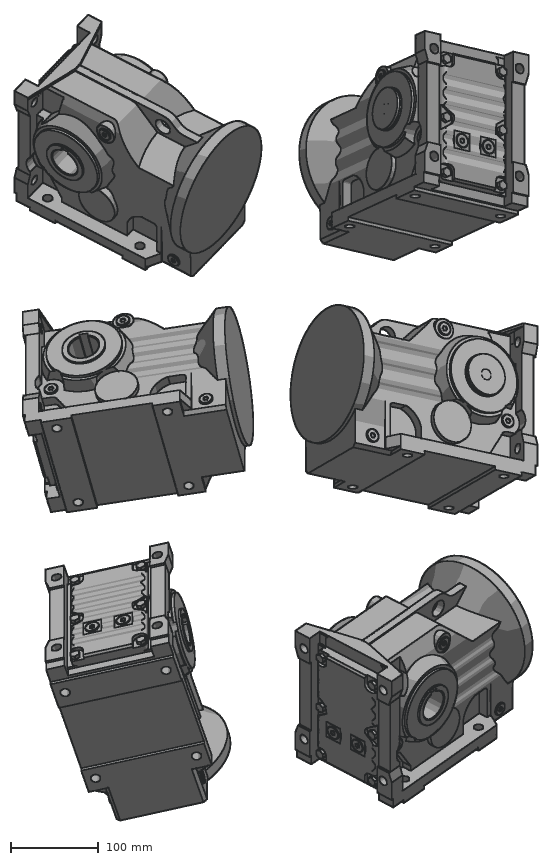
import cadquery as cq
import math


REAR_X = -71.2
FLANGE_X = 165.3
TOP_Z = 74.2
FOOT_Z = -111.8
HALF_WIDTH = 72.6
FAR = 200.0

PAD_HEIGHT = 2.7
PLATE_X = REAR_X + PAD_HEIGHT
PLATE_FRONT_X = -52.4
PLATE_WAIST = 68.4
CHANNEL_HALF = 50.8
CHANNEL_X = -53.6
UPPER_PAD_Z = 38.0
UPPER_WAIST_Z = 39.4
UPPER_TAPER_Z = 52.0
LOWER_PAD_Z = -58.8
LOWER_TAPER_Z = -70.5
LOWER_PAD_END_Z = -95.4
GUSSET_TIP_X = -34.7
BOLT_DIA = 11.5
BOLT_Y = 59.6
REAR_BOLT_Z = (55.3, -74.3)

BASE_TOP_Z = -93.0
BASE_BOTTOM_Z = -107.5
BASE_END_X = 111.5
BASE_TAPER_X = 121.0
REAR_FOOT_X = (-50.0, -14.6)
FRONT_FOOT_X = 79.4
BASE_BOLT_X = (-34.0, 94.5)
BASE_BOLT_DIA = 11.0

SIDE_Y = 55.0
HOUSING_END_X = 160.9
RIDGE_TOP_Z = 27.7
RIDGE_PITCH = 25.0
RIDGE_COUNT = 3
RIDGE_DEPTH = 3.4
RIDGE_START_X = 0.0
SHOULDER_Z = 30.2
CROWN_Z = 39.7
BOX_TOP_Z = 70.7
BOX_TOP_Y = 40.0
BOX_TANGENT_Z = 35.3
BOX_SLOPE_X = 89.6
BOX_EDGE_RADIUS = 11.8
FOOT_BLOCK_X = 121.2
FOOT_BLOCK_Y = 53.5
FOOT_BLOCK_TOP_Z = -49.5
FOOT_BLOCK_BREAK_Z = -80.6

FLANGE_Z = -7.4
FLANGE_RADIUS = 80.0
FLANGE_THICKNESS = 13.7
CONE_START_RADIUS = 45.0

HUB_ROOT_RADIUS = 59.2
HUB_ROOT_Y = 38.4
HUB_RIM_RADIUS = 47.9
HUB_RIM_Y = 68.4
HUB_FACE_RADIUS = 44.0
HUB_FACE_Y = 71.9
SHAFT_RADIUS = 25.0
SHAFT_Y = 74.4
CAP_RADIUS = 24.5
CAP_Y = 77.8
CAP_HOLE_RADIUS = 6.4
CAP_HOLE_DEPTH = 2.0
BORE_RADIUS = 17.5
BORE_CHAMFER = 1.0
KEY_WIDTH = 9.5
KEY_TOP_Z = 21.0

RIB_HALF = 5.0
RIB_TOP_Z = 72.1
RIB_LOW_Z = 57.1
RIB_EYE_X = 87.7
RIB_EYE_Z = 53.5
RIB_EYE_RADIUS = 10.1
RIB_FOOT_RADIUS = 15.7

POCKET_Y = 43.2
UPPER_POCKET_TOP_Z = 69.0
UPPER_POCKET_WALL_X = -23.1
UPPER_POCKET_SLOPE_Z = 48.3
UPPER_POCKET_SLOPE_RUN = 16.5
LOWER_POCKET_TOP_Z = -54.6
LOWER_POCKET_BEND_START = (-40.3, LOWER_POCKET_TOP_Z)
LOWER_POCKET_BEND_MID = (-37.3, -55.6)
LOWER_POCKET_BEND_END = (-35.0, -58.2)
LOWER_POCKET_WALL_X = -18.0
LOWER_POCKET_SLOPE_END_Z = -86.0
FRONT_POCKET_REAR_X = 73.4
FRONT_POCKET_WALL_X = 114.8
FRONT_POCKET_TOP_Z = FOOT_BLOCK_TOP_Z
FRONT_POCKET_ARCH_Z = -72.7
FRONT_POCKET_ARCH_MID = (80.6, -58.4)
FRONT_POCKET_ARCH_X = 94.0
FRONT_POCKET_CORNER = 4.7
DISC_X, DISC_Z = 35.3, -58.9
DISC_RADIUS = 24.9
DISC_Y = 60.9
SPOT_X, SPOT_Z = -41.6, -41.6
SPOT_RADIUS = 16.0
OIL_BOSS_X, OIL_BOSS_Z = 41.5, 54.9
OIL_BOSS_RADIUS = 12.1
OIL_BOSS_Y = 52.8
ROUND_BOSSES = (
    (DISC_X, DISC_Z, DISC_RADIUS, CHANNEL_HALF, DISC_Y),
    (SPOT_X, SPOT_Z, SPOT_RADIUS, CHANNEL_HALF, SIDE_Y),
    (OIL_BOSS_X, OIL_BOSS_Z, OIL_BOSS_RADIUS, BOX_TOP_Y, OIL_BOSS_Y),
)
FOOT_PLUG_X, FOOT_PLUG_Z = 138.0, -94.5
PLUG_RADIUS = 7.8
PLUG_HEIGHT = 2.0
PLUG_CHAMFER = 0.6
PLUG_SOCKET = 6.0
PLUG_SOCKET_DEPTH = 1.5

COVER_TOP_Z = 57.4
COVER_BOTTOM_Z = -96.2
COVER_FLANGE_X = -56.4
COVER_HALF = 44.9
COVER_CREST_X = -67.7
COVER_PAD_X = -63.3
COVER_CORNER_RADIUS = 5.0
COVER_SIDE_ROUND = 6.0
COVER_END_CHAMFER = 2.6
COVER_RIDGE_TOP_Z = 33.9
COVER_RIDGE_PITCH = 17.94
COVER_RIDGE_COUNT = 6
COVER_RIDGE_DEPTH = 2.0
COVER_BOLT_Y = 39.0
COVER_BOLT_Z = (48.8, -21.7, -88.1)
COVER_BOLT_HEX = 11.55
COVER_BOLT_HEAD = 4.4
SEAT_INNER_Y = 29.0
SEAT_LENGTH = 18.0
SEAT_RADIUS = 7.5
MID_SEAT_HALF = 15.0
MID_SEAT_TIP_HALF = 5.7
MID_SEAT_TIP_BULGE = 2.0
COVER_PLUG_Y = 18.4
COVER_PLUG_Z = -46.4
COVER_PLUG_PAD = 21.1
COVER_PLUG_RADIUS = 8.3
COVER_PLUG_HEIGHT = 1.0


def box(x0, x1, y0, y1, z0, z1):
    return cq.Workplane("XY").box(x1 - x0, y1 - y0, z1 - z0, centered=False).translate((x0, y0, z0))


def on_both_sides(solid):
    return solid.union(solid.mirror("XZ"))


def side_prism(outline, y0, y1):
    """Extrude a wire drawn on an XZ workplane from -y0 to -y1 (the -Y side)."""
    return outline.extrude(y1 - y0).translate((0, -y0, 0))


def side_cylinder(x, z, radius, y0, y1):
    return side_prism(cq.Workplane("XZ").center(x, z).circle(radius), y0, y1)


def ripple(sketch, base, depth, top_z, pitch, count):
    """Continue a (side, z) outline downwards over wavy grooves cut below `base`.

    Every groove is an arc from the crest to the wall, a valley arc and an arc back to the next crest.
    """
    rise = abs(depth) / 2
    run = pitch / 4
    radius = (run**2 + rise**2) / (2 * rise)
    half_angle = math.asin(run / radius) / 2
    sag = math.copysign(radius * (1 - math.cos(half_angle)), depth)
    shift = radius * math.sin(half_angle)
    middle = base - depth / 2
    for groove in range(count):
        z = top_z - groove * pitch
        sketch = (
            sketch.threePointArc((base - sag, z - shift), (middle, z - run))
            .threePointArc((base - depth, z - 2 * run), (middle, z - 3 * run))
            .threePointArc((base - sag, z - pitch + shift), (base, z - pitch))
        )
    return sketch


def housing():
    half = cq.Workplane("YZ").moveTo(0, CROWN_Z)
    crown_drop = CROWN_Z - SHOULDER_Z
    crown_radius = (SIDE_Y**2 + crown_drop**2) / (2 * crown_drop)
    crown_mid_y = SIDE_Y / 2
    crown_mid_z = CROWN_Z - crown_radius + math.sqrt(crown_radius**2 - crown_mid_y**2)
    half = half.threePointArc((crown_mid_y, crown_mid_z), (SIDE_Y, SHOULDER_Z))
    half = half.lineTo(SIDE_Y, RIDGE_TOP_Z)
    half = ripple(half, SIDE_Y, RIDGE_DEPTH, RIDGE_TOP_Z, RIDGE_PITCH, RIDGE_COUNT)
    half = half.lineTo(SIDE_Y, BASE_BOTTOM_Z).lineTo(0, BASE_BOTTOM_Z).close()
    half = half.extrude(HOUSING_END_X - PLATE_FRONT_X).translate((PLATE_FRONT_X, 0, 0))
    rear_wall = box(PLATE_FRONT_X, RIDGE_START_X, 0, SIDE_Y, BASE_BOTTOM_Z, RIDGE_TOP_Z)
    relief = (
        cq.Workplane("YZ")
        .polyline([
            (SIDE_Y, FOOT_BLOCK_TOP_Z),
            (FOOT_BLOCK_Y, FOOT_BLOCK_BREAK_Z),
            (FOOT_BLOCK_Y, FOOT_Z),
            (FAR, FOOT_Z),
            (FAR, FOOT_BLOCK_TOP_Z),
        ])
        .close()
        .extrude(FAR)
        .translate((FOOT_BLOCK_X, 0, 0))
    )
    half = half.union(rear_wall).cut(relief)
    return half.union(half.mirror("XZ"))


def upper_box():
    width = SIDE_Y - BOX_TOP_Y
    height = BOX_TOP_Z - BOX_TANGENT_Z
    radius = (width**2 + height**2) / (2 * width)
    half_angle = math.asin(height / radius) / 2
    mid_y = SIDE_Y - radius * (1 - math.cos(half_angle))
    mid_z = BOX_TANGENT_Z + radius * math.sin(half_angle)
    section = (
        cq.Workplane("YZ")
        .moveTo(-SIDE_Y, 0)
        .lineTo(-SIDE_Y, BOX_TANGENT_Z)
        .threePointArc((-mid_y, mid_z), (-BOX_TOP_Y, BOX_TOP_Z))
        .lineTo(BOX_TOP_Y, BOX_TOP_Z)
        .threePointArc((mid_y, mid_z), (SIDE_Y, BOX_TANGENT_Z))
        .lineTo(SIDE_Y, 0)
        .close()
        .extrude(FAR)
        .translate((PLATE_FRONT_X, 0, 0))
    )
    slope_top_x = BOX_SLOPE_X - (BOX_TOP_Z - SHOULDER_Z)
    slope_foot_x = BOX_SLOPE_X + SHOULDER_Z
    profile = (
        cq.Workplane("XZ")
        .polyline([
            (PLATE_FRONT_X, 0),
            (PLATE_FRONT_X, BOX_TOP_Z),
            (slope_top_x, BOX_TOP_Z),
            (slope_foot_x, 0),
        ])
        .close()
        .extrude(SIDE_Y, both=True)
        .edges(cq.selectors.NearestToPointSelector((slope_top_x, 0, BOX_TOP_Z)))
        .fillet(BOX_EDGE_RADIUS)
    )
    keep = box(PLATE_FRONT_X, BOX_SLOPE_X, -SIDE_Y, SIDE_Y, SHOULDER_Z, TOP_Z)
    return section.intersect(profile).intersect(keep)


def rear_plate():
    column = (
        cq.Workplane("YZ")
        .polyline([
            (CHANNEL_HALF, BASE_BOTTOM_Z),
            (HALF_WIDTH, BASE_BOTTOM_Z),
            (HALF_WIDTH, LOWER_TAPER_Z),
            (PLATE_WAIST, LOWER_PAD_Z),
            (PLATE_WAIST, UPPER_WAIST_Z),
            (HALF_WIDTH, UPPER_TAPER_Z),
            (HALF_WIDTH, TOP_Z),
            (CHANNEL_HALF, TOP_Z),
        ])
        .close()
        .extrude(PLATE_FRONT_X - REAR_X)
        .translate((REAR_X, 0, 0))
    )
    for z0, z1 in ((LOWER_PAD_Z, UPPER_PAD_Z), (FOOT_Z, LOWER_PAD_END_Z)):
        column = column.cut(box(REAR_X, PLATE_X, 0, FAR, z0, z1))
    web = box(CHANNEL_X, PLATE_FRONT_X, -CHANNEL_HALF, CHANNEL_HALF, BASE_BOTTOM_Z, TOP_Z)
    gusset = (
        cq.Workplane("XY")
        .polyline([
            (PLATE_FRONT_X, -HALF_WIDTH),
            (GUSSET_TIP_X, -RIB_HALF),
            (GUSSET_TIP_X, RIB_HALF),
            (PLATE_FRONT_X, HALF_WIDTH),
        ])
        .close()
        .extrude(TOP_Z - BOX_TOP_Z)
        .translate((0, 0, BOX_TOP_Z))
    )
    return on_both_sides(column).union(web).union(gusset)


def base_plate():
    plate = (
        cq.Workplane("XY")
        .polyline([
            (PLATE_FRONT_X, -HALF_WIDTH),
            (BASE_END_X, -HALF_WIDTH),
            (BASE_TAPER_X, -SIDE_Y),
            (BASE_TAPER_X, SIDE_Y),
            (BASE_END_X, HALF_WIDTH),
            (PLATE_FRONT_X, HALF_WIDTH),
        ])
        .close()
        .extrude(BASE_TOP_Z - BASE_BOTTOM_Z)
        .translate((0, 0, BASE_BOTTOM_Z))
    )
    rear_feet = box(*REAR_FOOT_X, -HALF_WIDTH, HALF_WIDTH, FOOT_Z, BASE_BOTTOM_Z)
    front_feet = box(FRONT_FOOT_X, BASE_END_X, -HALF_WIDTH, HALF_WIDTH, FOOT_Z, BASE_BOTTOM_Z)
    sole_inset = BASE_BOTTOM_Z - FOOT_Z
    sole = (
        cq.Workplane("YZ")
        .polyline([
            (-FOOT_BLOCK_Y, BASE_BOTTOM_Z),
            (FOOT_BLOCK_Y, BASE_BOTTOM_Z),
            (FOOT_BLOCK_Y - sole_inset, FOOT_Z),
            (sole_inset - FOOT_BLOCK_Y, FOOT_Z),
        ])
        .close()
        .extrude(HOUSING_END_X - BASE_END_X)
        .translate((BASE_END_X, 0, 0))
    )
    return plate.union(rear_feet).union(front_feet).union(sole)


def input_flange():
    disc_x = FLANGE_X - FLANGE_THICKNESS
    cone_x = disc_x - (FLANGE_RADIUS - CONE_START_RADIUS)
    return (
        cq.Workplane("XZ")
        .polyline([
            (cone_x, 0),
            (cone_x, CONE_START_RADIUS),
            (disc_x, FLANGE_RADIUS),
            (FLANGE_X, FLANGE_RADIUS),
            (FLANGE_X, 0),
        ])
        .close()
        .revolve(360, (0, 0), (1, 0))
        .translate((0, 0, FLANGE_Z))
    )


def output_hub():
    hub = (
        cq.Workplane("XY")
        .polyline([
            (0, -HUB_FACE_Y),
            (HUB_FACE_RADIUS, -HUB_FACE_Y),
            (HUB_FACE_RADIUS, -HUB_RIM_Y),
            (HUB_RIM_RADIUS, -HUB_RIM_Y),
            (HUB_ROOT_RADIUS, -HUB_ROOT_Y),
            (0, -HUB_ROOT_Y),
        ])
        .close()
        .revolve(360, (0, 0), (0, 1))
    )
    return on_both_sides(hub)


def hollow_shaft():
    shaft = side_cylinder(0, 0, SHAFT_RADIUS, -SHAFT_Y, SHAFT_Y)
    return shaft.union(side_cylinder(0, 0, CAP_RADIUS, -CAP_Y, -SHAFT_Y))


def shaft_bore():
    bore = side_cylinder(0, 0, BORE_RADIUS, -SHAFT_Y, SHAFT_Y)
    mouth = (
        cq.Workplane("XZ", origin=(0, -SHAFT_Y, 0))
        .circle(BORE_RADIUS + BORE_CHAMFER)
        .workplane(offset=-BORE_CHAMFER)
        .circle(BORE_RADIUS)
        .loft()
    )
    key = box(-KEY_WIDTH / 2, KEY_WIDTH / 2, -SHAFT_Y, SHAFT_Y, 0, KEY_TOP_Z)
    cap_hole = side_cylinder(0, 0, CAP_HOLE_RADIUS, -SHAFT_Y - CAP_HOLE_DEPTH, -SHAFT_Y)
    return bore.union(mouth).union(key).union(cap_hole)


def lifting_rib():
    diagonal = math.sqrt(0.5)
    crest_radius = RIB_TOP_Z - RIB_EYE_Z
    crest_end = (RIB_EYE_X + crest_radius * diagonal, RIB_EYE_Z + crest_radius * diagonal)
    foot_start_z = RIB_LOW_Z + RIB_FOOT_RADIUS * (1 - diagonal)
    foot_start_x = crest_end[0] + crest_end[1] - foot_start_z
    foot_end_x = foot_start_x + RIB_FOOT_RADIUS * diagonal
    half_turn = math.pi / 8
    crest_mid = (
        RIB_EYE_X + crest_radius * math.sin(half_turn),
        RIB_EYE_Z + crest_radius * math.cos(half_turn),
    )
    foot_mid = (
        foot_end_x - RIB_FOOT_RADIUS * math.sin(half_turn),
        RIB_LOW_Z + RIB_FOOT_RADIUS * (1 - math.cos(half_turn)),
    )
    return (
        cq.Workplane("XZ")
        .moveTo(PLATE_FRONT_X, 0)
        .lineTo(PLATE_FRONT_X, RIB_TOP_Z)
        .lineTo(RIB_EYE_X, RIB_TOP_Z)
        .threePointArc(crest_mid, crest_end)
        .lineTo(foot_start_x, foot_start_z)
        .threePointArc(foot_mid, (foot_end_x, RIB_LOW_Z))
        .lineTo(FLANGE_X - FLANGE_THICKNESS, RIB_LOW_Z)
        .lineTo(FLANGE_X - FLANGE_THICKNESS, 0)
        .close()
        .extrude(RIB_HALF, both=True)
    )


def lifting_eye():
    return side_cylinder(RIB_EYE_X, RIB_EYE_Z, RIB_EYE_RADIUS, -RIB_HALF, RIB_HALF)


def upper_pocket():
    """Wrench space beside an upper rear bolt, with a 45 degree floor over the hub."""
    outline = cq.Workplane("XZ").polyline([
        (PLATE_FRONT_X, UPPER_POCKET_TOP_Z),
        (UPPER_POCKET_WALL_X, UPPER_POCKET_TOP_Z),
        (UPPER_POCKET_WALL_X, UPPER_POCKET_SLOPE_Z),
        (UPPER_POCKET_WALL_X - UPPER_POCKET_SLOPE_RUN, SHOULDER_Z),
        (PLATE_FRONT_X, SHOULDER_Z),
    ])
    return side_prism(outline.close(), POCKET_Y, FAR)


def lower_pocket():
    """Wrench space beside a lower rear bolt."""
    outline = (
        cq.Workplane("XZ")
        .moveTo(PLATE_FRONT_X, BASE_TOP_Z)
        .lineTo(PLATE_FRONT_X, LOWER_POCKET_TOP_Z)
        .lineTo(*LOWER_POCKET_BEND_START)
        .threePointArc(LOWER_POCKET_BEND_MID, LOWER_POCKET_BEND_END)
        .lineTo(LOWER_POCKET_WALL_X, LOWER_POCKET_SLOPE_END_Z)
        .lineTo(LOWER_POCKET_WALL_X, BASE_TOP_Z)
    )
    return side_prism(outline.close(), POCKET_Y, FAR)


def front_pocket():
    """Arched wrench space above a front base bolt."""
    corner_x = FRONT_POCKET_WALL_X - FRONT_POCKET_CORNER
    corner_z = FRONT_POCKET_TOP_Z - FRONT_POCKET_CORNER
    corner_reach = FRONT_POCKET_CORNER * math.sqrt(0.5)
    outline = (
        cq.Workplane("XZ")
        .moveTo(FRONT_POCKET_REAR_X, BASE_TOP_Z)
        .lineTo(FRONT_POCKET_REAR_X, FRONT_POCKET_ARCH_Z)
        .threePointArc(FRONT_POCKET_ARCH_MID, (FRONT_POCKET_ARCH_X, FRONT_POCKET_TOP_Z))
        .lineTo(corner_x, FRONT_POCKET_TOP_Z)
        .threePointArc((corner_x + corner_reach, corner_z + corner_reach), (FRONT_POCKET_WALL_X, corner_z))
        .lineTo(FRONT_POCKET_WALL_X, BASE_TOP_Z)
    )
    return side_prism(outline.close(), POCKET_Y, FAR)


def side_pockets():
    return on_both_sides(upper_pocket().union(lower_pocket()).union(front_pocket()))


def add_round_bosses(body):
    """Face the hub and walls down to each round boss, and fill the boss up to its face."""
    for x, z, radius, root_y, face_y in ROUND_BOSSES:
        body = body.cut(on_both_sides(side_cylinder(x, z, radius, face_y, FAR)))
        body = body.union(on_both_sides(side_cylinder(x, z, radius, root_y, face_y)))
    return body


def socket_plug(seat, outer_face, radius, height):
    """Plug head with a hexagon socket, standing on the given workplane."""
    head = seat.circle(radius).extrude(height).faces(outer_face).edges().chamfer(PLUG_CHAMFER)
    socket = seat.workplane(offset=height - PLUG_SOCKET_DEPTH).polygon(6, PLUG_SOCKET)
    return head.cut(socket.extrude(PLUG_SOCKET_DEPTH))


def side_plug(x, z, seat_y):
    seat = cq.Workplane("XZ", origin=(x, -seat_y, z))
    return socket_plug(seat, "<Y", PLUG_RADIUS, PLUG_HEIGHT)


def side_plugs():
    spot_plug = side_plug(SPOT_X, SPOT_Z, SIDE_Y)
    oil_plug = side_plug(OIL_BOSS_X, OIL_BOSS_Z, OIL_BOSS_Y)
    foot_plug = side_plug(FOOT_PLUG_X, FOOT_PLUG_Z, FOOT_BLOCK_Y)
    return on_both_sides(spot_plug.union(oil_plug).union(foot_plug))


def bolt_holes():
    holes = (
        cq.Workplane("YZ", origin=(REAR_X, 0, 0))
        .pushPoints([(y, z) for y in (-BOLT_Y, BOLT_Y) for z in REAR_BOLT_Z])
        .circle(BOLT_DIA / 2)
        .extrude(PLATE_FRONT_X - REAR_X)
    )
    base_holes = (
        cq.Workplane("XY", origin=(0, 0, FOOT_Z))
        .pushPoints([(x, y) for x in BASE_BOLT_X for y in (-BOLT_Y, BOLT_Y)])
        .circle(BASE_BOLT_DIA / 2)
        .extrude(BASE_TOP_Z - FOOT_Z)
    )
    return holes.union(base_holes)


def corner_seat(side, end_z, inward):
    """Space above a bolt seat in a cover corner; `inward` is the Z direction into the cover."""
    lift = COVER_PAD_X - COVER_CREST_X
    inner_z = end_z + inward * SEAT_LENGTH
    y0, y1 = sorted((side * SEAT_INNER_Y, side * CHANNEL_HALF))
    z0, z1 = sorted((end_z, inner_z))
    inner_corner = cq.selectors.NearestToPointSelector((COVER_PAD_X, side * SEAT_INNER_Y, inner_z))
    seat = box(COVER_PAD_X - 2 * lift, COVER_PAD_X, y0, y1, z0, z1)
    return seat.edges("|X").edges(inner_corner).fillet(SEAT_RADIUS)


def middle_seat(side):
    """Space above the pointed bolt seat halfway up the cover."""
    lift = COVER_PAD_X - COVER_CREST_X
    mid_z = COVER_BOLT_Z[1]
    tip_y = SEAT_INNER_Y + MID_SEAT_TIP_BULGE
    return (
        cq.Workplane("YZ")
        .moveTo(side * COVER_HALF, mid_z - MID_SEAT_HALF)
        .lineTo(side * tip_y, mid_z - MID_SEAT_TIP_HALF)
        .threePointArc((side * SEAT_INNER_Y, mid_z), (side * tip_y, mid_z + MID_SEAT_TIP_HALF))
        .lineTo(side * COVER_HALF, mid_z + MID_SEAT_HALF)
        .close()
        .extrude(2 * lift)
        .translate((COVER_PAD_X - 2 * lift, 0, 0))
    )


def cover_body():
    """Ribbed block with rounded sides, bevelled ends and rounded corners."""
    block = box(COVER_CREST_X, COVER_FLANGE_X, -COVER_HALF, COVER_HALF, COVER_BOTTOM_Z, COVER_TOP_Z)
    rounded_sides = block.edges("|Z and <X").fillet(COVER_SIDE_ROUND)
    rounded_corners = block.edges("|X").fillet(COVER_CORNER_RADIUS)
    bevelled_ends = block.edges("|Y and <X").chamfer(COVER_END_CHAMFER)
    body = rounded_sides.intersect(rounded_corners).intersect(bevelled_ends)
    grooves = ripple(
        cq.Workplane("XZ").moveTo(COVER_CREST_X, COVER_RIDGE_TOP_Z),
        COVER_CREST_X,
        -COVER_RIDGE_DEPTH,
        COVER_RIDGE_TOP_Z,
        COVER_RIDGE_PITCH,
        COVER_RIDGE_COUNT,
    )
    return body.cut(grooves.close().extrude(CHANNEL_HALF, both=True))


def cover_plug(y):
    """Square pad flush with the rib crests, carrying a plug."""
    half_pad = COVER_PLUG_PAD / 2
    pad = box(
        COVER_CREST_X,
        COVER_FLANGE_X,
        y - half_pad,
        y + half_pad,
        COVER_PLUG_Z - half_pad,
        COVER_PLUG_Z + half_pad,
    )
    seat = cq.Workplane("ZY", origin=(COVER_CREST_X, y, COVER_PLUG_Z))
    return pad.union(socket_plug(seat, "<X", COVER_PLUG_RADIUS, COVER_PLUG_HEIGHT))


def rear_cover():
    cover = cover_body()
    for side in (-1, 1):
        cover = cover.cut(corner_seat(side, COVER_TOP_Z, -1))
        cover = cover.cut(corner_seat(side, COVER_BOTTOM_Z, 1))
        cover = cover.cut(middle_seat(side))
        cover = cover.union(cover_plug(side * COVER_PLUG_Y))
    flange = box(COVER_FLANGE_X, CHANNEL_X, -CHANNEL_HALF, CHANNEL_HALF, COVER_BOTTOM_Z, COVER_TOP_Z)
    bolts = (
        cq.Workplane("ZY", origin=(COVER_PAD_X, 0, 0))
        .pushPoints([(z, y) for z in COVER_BOLT_Z for y in (-COVER_BOLT_Y, COVER_BOLT_Y)])
        .polygon(6, COVER_BOLT_HEX)
        .extrude(COVER_BOLT_HEAD)
    )
    return cover.union(flange).union(bolts)


result = housing()
for piece in (upper_box(), output_hub(), base_plate(), rear_plate()):
    result = result.union(piece)
result = add_round_bosses(result).cut(side_pockets())
for piece in (lifting_rib(), input_flange(), hollow_shaft(), side_plugs(), rear_cover()):
    result = result.union(piece)
for cutter in (lifting_eye(), shaft_bore(), bolt_holes()):
    result = result.cut(cutter)